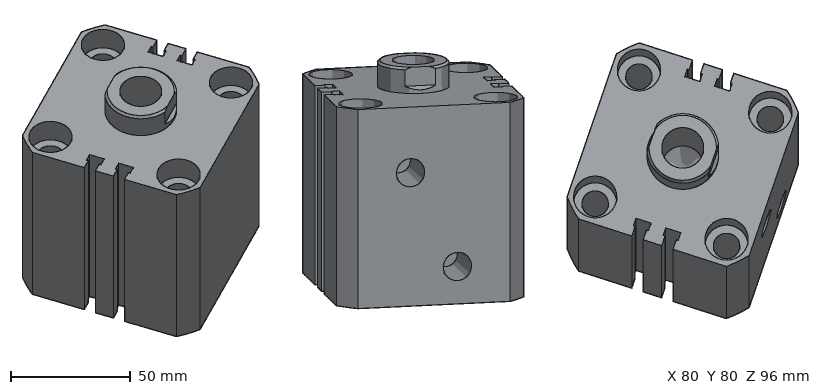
import cadquery as cq
import math

body_width = 80.0
body_height = 85.0
corner_turning_diameter = 103.0

mount_spacing = 57.7
mount_hole_diameter = 11.0
counterbore_diameter = 18.0
counterbore_depth = 11.0

slot_offset = 6.55
slot_mouth_width = 5.0
slot_base_width = 6.6
slot_lip_depth = 4.4
slot_depth = 7.8

port_offset = 10.0
upper_port_height = 57.0
lower_port_height = 16.0
port_mouth_diameter = 12.0
port_depth = 24.0
port_taper = 1 / 16

rod_diameter = 30.0
rod_projection = 11.0
rod_insertion = 50.0
rod_chamfer = 1.0
flats_distance = 27.0
flats_start = 3.0
rod_bore_diameter = 17.5
rod_bore_depth = 30.0
drill_point_angle = 118.0

half_width = body_width / 2
rod_bottom = body_height - rod_insertion
rod_top = body_height + rod_projection


def cylinder(diameter, bottom, top):
    """Upright cylinder on the Z axis."""
    return cq.Workplane("XY").workplane(offset=bottom).circle(diameter / 2).extrude(top - bottom)


def sensor_slot(x_centre, side):
    """T-shaped groove over the full height; side is -1 for the -Y face and +1 for the +Y face."""
    lip_y = side * (half_width - slot_lip_depth)
    floor_y = side * (half_width - slot_depth)
    mouth = (
        cq.Workplane("XY")
        .center(x_centre, (side * half_width + lip_y) / 2)
        .rect(slot_mouth_width, slot_lip_depth)
        .extrude(body_height)
    )
    base = (
        cq.Workplane("XY")
        .center(x_centre, (lip_y + floor_y) / 2)
        .rect(slot_base_width, slot_depth - slot_lip_depth)
        .extrude(body_height)
    )
    return mouth.union(base)


def air_port(y_centre, height):
    """Flat-bottomed taper hole entering the -X face."""
    mouth_radius = port_mouth_diameter / 2
    end_radius = mouth_radius - port_depth * port_taper / 2
    mouth_centre = cq.Vector(-half_width, y_centre, height)
    return cq.Solid.makeCone(mouth_radius, end_radius, port_depth, mouth_centre, cq.Vector(1, 0, 0))


def make_body():
    """Square block with turned corners, mounting holes, sensor slots, air ports and the rod hole."""
    block = cq.Workplane("XY").rect(body_width, body_width).extrude(body_height)
    body = block.intersect(cylinder(corner_turning_diameter, 0, body_height))

    body = (
        body.faces(">Z")
        .workplane(origin=(0, 0, body_height))
        .rect(mount_spacing, mount_spacing, forConstruction=True)
        .vertices()
        .cboreHole(mount_hole_diameter, counterbore_diameter, counterbore_depth)
    )

    for side in (-1, 1):
        for x_centre in (-slot_offset, slot_offset):
            body = body.cut(sensor_slot(x_centre, side))

    body = body.cut(air_port(port_offset, upper_port_height))
    body = body.cut(air_port(-port_offset, lower_port_height))
    return body.cut(cylinder(rod_diameter, rod_bottom, body_height))


def wrench_flat(side):
    """Material removed for one flat, its lower end sloping out at 45 degrees; side is -1 or +1 along X."""
    flat_x = flats_distance / 2
    outer_x = rod_diameter / 2
    flat_bottom = body_height + flats_start
    profile = [
        (side * flat_x, flat_bottom),
        (side * outer_x, flat_bottom - (outer_x - flat_x)),
        (side * outer_x, rod_top),
        (side * flat_x, rod_top),
    ]
    return cq.Workplane("XZ").polyline(profile).close().extrude(rod_diameter / 2, both=True)


def rod_bore():
    """Drilled hole in the rod end, closed by a conical drill point."""
    radius = rod_bore_diameter / 2
    shoulder_height = rod_top - rod_bore_depth
    point_length = radius / math.tan(math.radians(drill_point_angle / 2))
    profile = [
        (0, rod_top),
        (radius, rod_top),
        (radius, shoulder_height),
        (0, shoulder_height - point_length),
    ]
    return cq.Workplane("XZ").polyline(profile).close().revolve(360, (0, 0), (0, 1))


def make_rod():
    """Round rod with a chamfered end, two wrench flats and a drilled bore."""
    rod = cylinder(rod_diameter, rod_bottom, rod_top).faces(">Z").chamfer(rod_chamfer)
    for side in (-1, 1):
        rod = rod.cut(wrench_flat(side))
    return rod.cut(rod_bore())


cylinder_body = make_body()
piston_rod = make_rod()

result = cq.Compound.makeCompound([cylinder_body.solids().val(), piston_rod.solids().val()])